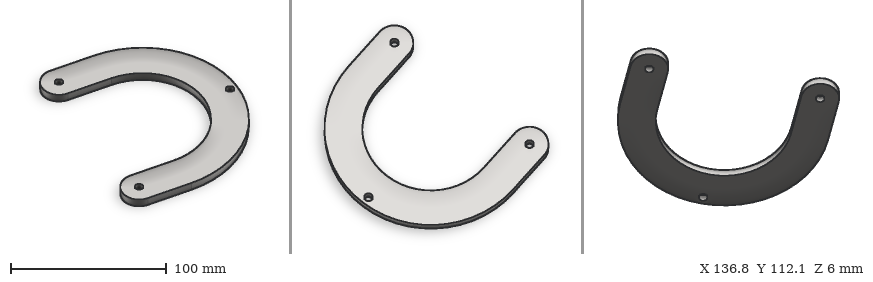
import cadquery as cq

outer_radius = 68.4
leg_width = 24.3
leg_length = 31.5
thickness = 6.0
hole_diameter = 5.5
crown_hole_inset = 5.2

inner_radius = outer_radius - leg_width
end_radius = leg_width / 2
leg_center_x = outer_radius - end_radius
leg_end_y = -leg_length
tip_y = leg_end_y - end_radius

plate = (
    cq.Workplane("XY")
    .moveTo(-outer_radius, leg_end_y)
    .lineTo(-outer_radius, 0)
    .threePointArc((0, outer_radius), (outer_radius, 0))
    .lineTo(outer_radius, leg_end_y)
    .threePointArc((leg_center_x, tip_y), (inner_radius, leg_end_y))
    .lineTo(inner_radius, 0)
    .threePointArc((0, inner_radius), (-inner_radius, 0))
    .lineTo(-inner_radius, leg_end_y)
    .threePointArc((-leg_center_x, tip_y), (-outer_radius, leg_end_y))
    .close()
    .extrude(thickness)
)

hole_centers = [
    (0, outer_radius - crown_hole_inset),
    (-leg_center_x, leg_end_y),
    (leg_center_x, leg_end_y),
]
holes = (
    cq.Workplane("XY")
    .pushPoints(hole_centers)
    .circle(hole_diameter / 2)
    .extrude(thickness)
)

result = plate.cut(holes)